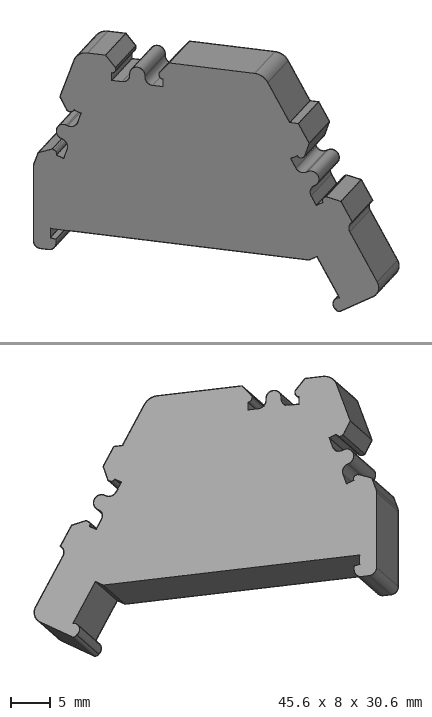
import cadquery as cq
import math

LENGTH = 45.6
WIDTH = 8.0
HEIGHT = 30.6

BASE_Z = 6.45
TOP_ROUND = 2.0
LEFT_FACE_ANGLE = 70.0
LEFT_WALL_TOP = 14.7
LEFT_WALL_ROUND = 1.25
RIGHT_FACE_ANGLE = 60.0
TOP_RIGHT_X = 30.35
SHOULDER_Z = 24.6
SHOULDER_LENGTH = 1.15

FOOT_BOTTOM = 3.55
FOOT_THICKNESS = 2.25
FOOT_REACH = 2.95
FOOT_ROUND = 0.95
FOOT_HOOK_INNER_Z = 5.2
FOOT_HOOK_OUTER_Z = 5.05

ARM_ROOT_Z = 7.0
ARM_LENGTH = 7.55
ARM_THICKNESS = 5.7
ARM_ROUND = 1.5
ARM_STEP_DEPTH = 0.9
ARM_STEP_HEIGHT = 2.2
ARM_STEP_ROUND = 1.0
ARM_HOOK_START = 5.97
ARM_HOOK_REACH = 1.25
ARM_HOOK_BULGE = (6.05, -1.0)
ARM_HOOK_TIP_ROUND = 0.45

NOTCH_DEPTH = 3.3
NOTCH_HALF_FLOOR = 3.37
NOTCH_HALF_THROAT = 2.85
NOTCH_HALF_MOUTH = 4.2
NOTCH_LIP_TOP = 1.8
NOTCH_WALL_HEIGHT = 1.0
BUMP_RADIUS = 1.0
BUMP_HEIGHT = 2.2
BUMP_ROOT_ROUND = 1.0
TOP_NOTCH_X = 13.73
LEFT_NOTCH_Z = 20.35
RIGHT_NOTCH_Z = 18.45

TAN_LEFT = math.tan(math.radians(LEFT_FACE_ANGLE))
TAN_RIGHT = math.tan(math.radians(RIGHT_FACE_ANGLE))
COS_RIGHT = math.cos(math.radians(RIGHT_FACE_ANGLE))
SIN_RIGHT = math.sin(math.radians(RIGHT_FACE_ANGLE))
SHOULDER_X = TOP_RIGHT_X + (HEIGHT - SHOULDER_Z) / TAN_RIGHT + SHOULDER_LENGTH

ARM_ROOT_X = (
    LENGTH
    - ARM_ROUND
    - (ARM_LENGTH - ARM_ROUND) * COS_RIGHT
    - (ARM_THICKNESS - ARM_ROUND) * SIN_RIGHT
)


def left_face_x(z):
    """X of the left sloping face at height z."""
    return (z - LEFT_WALL_TOP) / TAN_LEFT


def right_face_x(z):
    """X of the right sloping face at height z."""
    return SHOULDER_X + (SHOULDER_Z - z) / TAN_RIGHT


def arm_point(along, out):
    """Point at a distance down the arm and outward from its inner edge."""
    x = ARM_ROOT_X + along * COS_RIGHT + out * SIN_RIGHT
    z = ARM_ROOT_Z - along * SIN_RIGHT + out * COS_RIGHT
    return (x, z)


def rounded_corner(path, before, corner, after, radius):
    """Draw up to a corner and round it with a tangent arc."""
    corner_v = cq.Vector(*corner)
    to_before = (cq.Vector(*before) - corner_v).normalized()
    to_after = (cq.Vector(*after) - corner_v).normalized()
    half_angle = to_before.getAngle(to_after) / 2
    setback = radius / math.tan(half_angle)
    bisector = (to_before + to_after).normalized()
    start = corner_v + to_before * setback
    middle = corner_v + bisector * (radius / math.sin(half_angle) - radius)
    end = corner_v + to_after * setback
    return path.lineTo(start.x, start.y).threePointArc((middle.x, middle.y), (end.x, end.y))


def draw_foot(path):
    """Hooked foot, drawn from its inner wall round to the left wall."""
    hook_corner = (FOOT_REACH, FOOT_BOTTOM)
    outer_corner = (0, FOOT_BOTTOM)
    hook_top = (FOOT_REACH, FOOT_HOOK_OUTER_Z)
    path = path.lineTo(FOOT_THICKNESS, BASE_Z)
    path = path.lineTo(FOOT_THICKNESS, FOOT_HOOK_INNER_Z)
    path = path.lineTo(*hook_top)
    path = rounded_corner(path, hook_top, hook_corner, outer_corner, FOOT_ROUND)
    return rounded_corner(path, hook_corner, outer_corner, (0, LEFT_WALL_TOP), FOOT_ROUND)


def draw_top(path):
    """Left wall, sloping left face, flat top and the slope down to the shoulder."""
    wall_top = (0, LEFT_WALL_TOP)
    round_end_z = HEIGHT - TOP_ROUND * (1 - COS_RIGHT)
    round_end = (left_face_x(round_end_z), round_end_z)
    round_start = (round_end[0] + TOP_ROUND * SIN_RIGHT, HEIGHT)
    top_right = (TOP_RIGHT_X, HEIGHT)
    shoulder_inner = (SHOULDER_X - SHOULDER_LENGTH, SHOULDER_Z)
    path = rounded_corner(path, (0, FOOT_BOTTOM), wall_top, round_end, LEFT_WALL_ROUND)
    path = path.lineTo(*round_end).radiusArc(round_start, TOP_ROUND)
    path = rounded_corner(path, round_start, top_right, shoulder_inner, TOP_ROUND)
    return path.lineTo(*shoulder_inner).lineTo(SHOULDER_X, SHOULDER_Z)


def draw_arm(path):
    """Leaning arm, drawn from the step on its outer edge round to its root."""
    step_z = arm_point(-ARM_STEP_HEIGHT, ARM_THICKNESS + ARM_STEP_DEPTH)[1]
    step_end = arm_point(-ARM_STEP_HEIGHT + ARM_STEP_ROUND, ARM_THICKNESS)
    outer_corner = arm_point(ARM_LENGTH, ARM_THICKNESS)
    tip_start = arm_point(ARM_LENGTH - ARM_HOOK_TIP_ROUND, -ARM_HOOK_REACH)
    tip_corner = arm_point(ARM_LENGTH, -ARM_HOOK_REACH)
    path = path.lineTo(right_face_x(step_z), step_z)
    path = path.radiusArc(step_end, -ARM_STEP_ROUND)
    path = rounded_corner(path, step_end, outer_corner, tip_corner, ARM_ROUND)
    path = rounded_corner(path, outer_corner, tip_corner, tip_start, ARM_HOOK_TIP_ROUND)
    path = path.threePointArc(arm_point(*ARM_HOOK_BULGE), arm_point(ARM_HOOK_START, 0))
    return path.lineTo(ARM_ROOT_X, ARM_ROOT_Z)


def make_body():
    """Plate with the foot and the arm, before the notches are cut."""
    path = cq.Workplane("XZ").moveTo(ARM_ROOT_X, ARM_ROOT_Z)
    path = path.lineTo(ARM_ROOT_X - (ARM_ROOT_Z - BASE_Z) * TAN_RIGHT, BASE_Z)
    path = draw_foot(path)
    path = draw_top(path)
    path = draw_arm(path)
    return path.close().extrude(WIDTH / 2, both=True)


def make_notch():
    """Notch cutter with its floor centred on the origin and its mouth facing +Z."""
    lip = NOTCH_HALF_FLOOR - NOTCH_HALF_THROAT
    bump_centre_z = BUMP_HEIGHT - BUMP_RADIUS
    floor_left = (-NOTCH_HALF_FLOOR, 0)
    bump_left = (-BUMP_RADIUS, 0)
    bump_right = (BUMP_RADIUS, 0)
    floor_right = (NOTCH_HALF_FLOOR, 0)
    bump_start = (-BUMP_RADIUS, bump_centre_z)
    bump_end = (BUMP_RADIUS, bump_centre_z)

    path = cq.Workplane("XZ").moveTo(-NOTCH_HALF_MOUTH, NOTCH_DEPTH)
    path = path.lineTo(-NOTCH_HALF_THROAT, NOTCH_LIP_TOP)
    path = path.lineTo(-NOTCH_HALF_THROAT, NOTCH_WALL_HEIGHT + lip)
    path = path.radiusArc((-NOTCH_HALF_FLOOR, NOTCH_WALL_HEIGHT), lip)
    path = path.lineTo(*floor_left)
    path = rounded_corner(path, floor_left, bump_left, bump_start, BUMP_ROOT_ROUND)
    path = path.lineTo(*bump_start).threePointArc((0, BUMP_HEIGHT), bump_end)
    path = rounded_corner(path, bump_end, bump_right, floor_right, BUMP_ROOT_ROUND)
    path = path.lineTo(*floor_right).lineTo(NOTCH_HALF_FLOOR, NOTCH_WALL_HEIGHT)
    path = path.radiusArc((NOTCH_HALF_THROAT, NOTCH_WALL_HEIGHT + lip), lip)
    path = path.lineTo(NOTCH_HALF_THROAT, NOTCH_LIP_TOP)
    path = path.lineTo(NOTCH_HALF_MOUTH, NOTCH_DEPTH)
    return path.close().extrude(WIDTH / 2, both=True)


def place_notch(notch, mouth_x, mouth_z, tilt):
    """Tilt the cutter about Y and put the middle of its mouth on a face."""
    centred = notch.translate((0, 0, -NOTCH_DEPTH))
    return centred.rotate((0, 0, 0), (0, 1, 0), tilt).translate((mouth_x, 0, mouth_z))


NOTCH_PLACES = [
    (TOP_NOTCH_X, HEIGHT, 0),
    (left_face_x(LEFT_NOTCH_Z), LEFT_NOTCH_Z, -LEFT_FACE_ANGLE),
    (right_face_x(RIGHT_NOTCH_Z), RIGHT_NOTCH_Z, RIGHT_FACE_ANGLE),
]

notch_cutter = make_notch()
result = make_body()
for x, z, tilt in NOTCH_PLACES:
    result = result.cut(place_notch(notch_cutter, x, z, tilt))